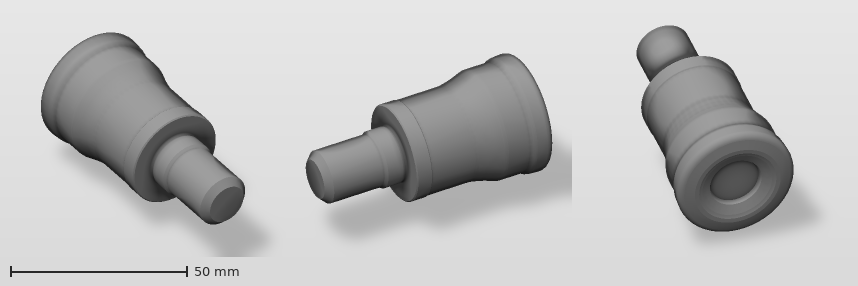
import cadquery as cq


total_length = 68.0
joint_x = 37.9

face_radius = 12.85
nose_x = 0.6
nose_radius = 15.9
rim_x = 2.7
rim_radius = 35.0 / 2
rim_back_x = 5.85
rim_back_radius = 17.3
rim_fall_x = 6.8
rim_fall_radius = 16.9
rim_end_x = 7.8
nose_bow = 0.55
rim_bow = 0.055
head_radius = 33.0 / 2
waist_start_x = 14.6
waist_end_x = 24.3
blend_length = 1.2
shoulder_drop = 0.2
waist_rise = 0.1
waist_sag = 0.2
shoulder_bow = 0.055
grip_blend_sag = 0.03
grip_radius = 28.5 / 2

dish_lip_radius = 11.55
dish_lip_x = 0.1
dish_radius = 10.5
dish_cone_x = 0.5
dish_lip_bow = 0.1
well_radius = 7.75
well_x = 1.8
floor_radius = 7.2
floor_x = 3.1

flange_radius = 29.0 / 2
flange_end_x = 42.85
flange_chamfer = 0.35
flange_lead_length = 0.3
root_fillet = 0.55
relief_radius = 8.2
pilot_start_x = 44.2
pilot_radius = 17.0 / 2
pilot_end_x = 48.95
shank_start_x = 50.0
shank_radius = 15.8 / 2
tip_chamfer = 2.05


def turn(profile):
    """Revolve a closed half profile, drawn in XY, about the X axis."""
    return profile.close().revolve(360, (0, 0, 0), (1, 0, 0))


def bowed_midpoint(start, end, bow):
    """Middle of a chord, moved radially outward by bow."""
    return ((start[0] + end[0]) / 2, (start[1] + end[1]) / 2 + bow)


def make_knob():
    nose = (nose_x, nose_radius)
    rim = (rim_x, rim_radius)
    rim_back = (rim_back_x, rim_back_radius)
    rim_fall = (rim_fall_x, rim_fall_radius)
    rim_end = (rim_end_x, head_radius)
    shoulder = (waist_start_x, head_radius)
    waist_top = (waist_start_x + blend_length, head_radius - shoulder_drop)
    waist_bottom = (waist_end_x - blend_length, grip_radius + waist_rise)
    grip_start = (waist_end_x, grip_radius)
    dish_edge = (dish_cone_x, dish_radius)
    dish_lip = (dish_lip_x, dish_lip_radius)

    profile = (
        cq.Workplane("XY")
        .moveTo(floor_x, 0)
        .lineTo(floor_x, floor_radius)
        .lineTo(well_x, well_radius)
        .lineTo(*dish_edge)
        .threePointArc(bowed_midpoint(dish_edge, dish_lip, dish_lip_bow), dish_lip)
        .lineTo(0, face_radius)
        .lineTo(*nose)
        .threePointArc(bowed_midpoint(nose, rim, nose_bow), rim)
        .lineTo(*rim_back)
        .threePointArc(bowed_midpoint(rim_back, rim_fall, rim_bow), rim_fall)
        .threePointArc(bowed_midpoint(rim_fall, rim_end, -rim_bow), rim_end)
        .lineTo(*shoulder)
        .threePointArc(bowed_midpoint(shoulder, waist_top, shoulder_bow), waist_top)
        .threePointArc(bowed_midpoint(waist_top, waist_bottom, -waist_sag), waist_bottom)
        .threePointArc(bowed_midpoint(waist_bottom, grip_start, -grip_blend_sag), grip_start)
        .lineTo(joint_x, grip_radius)
        .lineTo(joint_x, 0)
    )
    return turn(profile)


def make_stud():
    root_x = flange_end_x + root_fillet
    profile = (
        cq.Workplane("XY")
        .moveTo(joint_x, 0)
        .lineTo(joint_x, grip_radius)
        .lineTo(joint_x + flange_lead_length, flange_radius)
        .lineTo(flange_end_x - flange_chamfer, flange_radius)
        .lineTo(flange_end_x, flange_radius - flange_chamfer)
        .lineTo(flange_end_x, relief_radius + root_fillet)
        .radiusArc((root_x, relief_radius), -root_fillet)
        .lineTo(pilot_start_x, pilot_radius)
        .lineTo(pilot_end_x, pilot_radius)
        .lineTo(shank_start_x, shank_radius)
        .lineTo(total_length - tip_chamfer, shank_radius)
        .lineTo(total_length, shank_radius - tip_chamfer)
        .lineTo(total_length, 0)
    )
    return turn(profile)


knob = make_knob()
stud = make_stud()
result = cq.Compound.makeCompound([knob.val(), stud.val()])